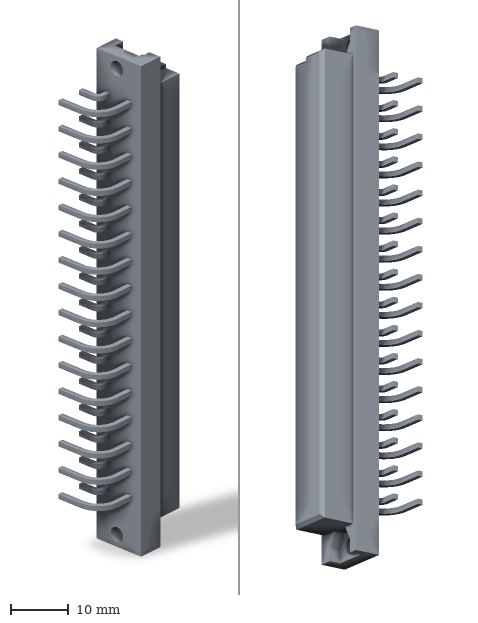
import cadquery as cq
import math

length = 94.9
overall_width = 11.9

flange_width = 10.3
flange_depth = 4.9
flange_right = overall_width
flange_left = flange_right - flange_width

plug_width = 8.5
plug_height = 6.55
end_gap = 5.0
plug_chamfer = 0.7
key_step = 0.8
plug_left = flange_left + (flange_width - plug_width) / 2
plug_right = plug_left + plug_width
plug_top = length - end_gap

hole_diameter = 2.8
hole_x = 6.3
hole_inset = 2.4
pocket_depth = 2.2
nut_apothem = end_gap - hole_inset
nut_corner_radius = nut_apothem / math.cos(math.radians(30))
nut_half_side = nut_corner_radius / 2

pin_size = 0.95
pin_count = 16
pin_row_length = 76.2
pin_pitch = pin_row_length / (pin_count - 1)
first_pin_z = 10.6
pin_reach = 8.1
pin_embed = 0.95
long_pin_x = 9.2
long_pin_y = -(pin_reach - pin_size / 2)
long_bend_radius = 4.1
short_pin_x = long_pin_x - pin_pitch
short_pin_y = -2.4
short_bend_radius = 1.0


def make_flange():
    return cq.Workplane("XY").box(flange_width, flange_depth, length, centered=False).translate(
        (flange_left, 0, 0)
    )


def make_plug():
    """Plug through the flange, with a stepped upper end and a chamfered mating face."""
    key_x = hole_x + nut_half_side
    outline = [
        (plug_left, end_gap),
        (plug_right, end_gap),
        (plug_right, plug_top - key_step),
        (key_x, plug_top - key_step),
        (key_x, plug_top),
        (plug_left, plug_top),
    ]
    plug_end = flange_depth + plug_height
    plug = cq.Workplane("XZ").polyline(outline).close().extrude(-plug_end)
    return plug.faces(">Y").chamfer(plug_chamfer)


def make_mounting_cut():
    """Through hole and half-hexagon nut pocket open to the upper end."""
    hole_z = length - hole_inset
    hole = (
        cq.Workplane("XZ")
        .center(hole_x, hole_z)
        .circle(hole_diameter / 2)
        .extrude(-flange_depth)
    )
    pocket = (
        cq.Workplane("XZ", origin=(0, flange_depth - pocket_depth, 0))
        .polyline([
            (hole_x - nut_corner_radius, length),
            (hole_x - nut_corner_radius, hole_z),
            (hole_x - nut_half_side, hole_z - nut_apothem),
            (hole_x + nut_half_side, hole_z - nut_apothem),
            (hole_x + nut_corner_radius, hole_z),
            (hole_x + nut_corner_radius, length),
        ])
        .close()
        .extrude(-pocket_depth)
    )
    return hole.union(pocket)


def make_pin(stem_x, arm_y, bend_radius, z):
    """Square pin leaving the flange along -Y and bending towards -X."""
    half = pin_size / 2
    inner_radius = bend_radius - half
    outer_radius = bend_radius + half
    bend_x = stem_x - bend_radius
    bend_y = arm_y + bend_radius
    diagonal = math.sqrt(0.5)
    return (
        cq.Workplane("XY", origin=(0, 0, z - half))
        .moveTo(0, arm_y - half)
        .lineTo(bend_x, arm_y - half)
        .threePointArc(
            (bend_x + outer_radius * diagonal, bend_y - outer_radius * diagonal),
            (stem_x + half, bend_y),
        )
        .lineTo(stem_x + half, pin_embed)
        .lineTo(stem_x - half, pin_embed)
        .lineTo(stem_x - half, bend_y)
        .threePointArc(
            (bend_x + inner_radius * diagonal, bend_y - inner_radius * diagonal),
            (bend_x, arm_y + half),
        )
        .lineTo(0, arm_y + half)
        .close()
        .extrude(pin_size)
    )


upper_cut = make_mounting_cut()
lower_cut = upper_cut.mirror("XY", (0, 0, length / 2))
flange = make_flange().cut(upper_cut).cut(lower_cut)
result = flange.union(make_plug())

for index in range(pin_count):
    pin_z = first_pin_z + index * pin_pitch
    result = result.union(make_pin(short_pin_x, short_pin_y, short_bend_radius, pin_z))
    result = result.union(make_pin(long_pin_x, long_pin_y, long_bend_radius, pin_z))